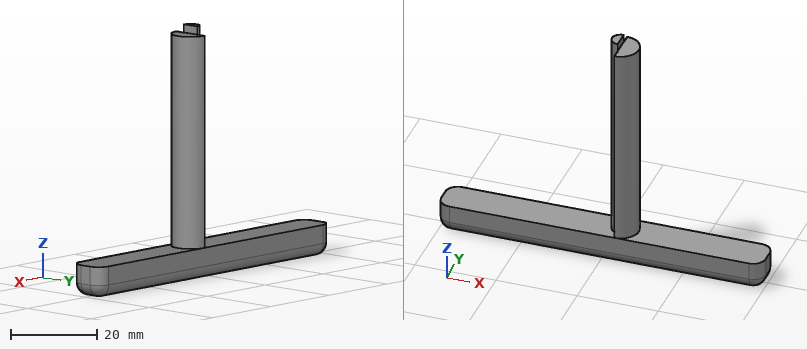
import cadquery as cq

bar_length = 80.0
bar_width = 9.0
bar_height = 7.4
bar_rounding = 3.0

total_height = 59.4
rib_step = 1.9
stem_flat_x = 3.8
post_radius = bar_width / 2
rib_radius = 2.2

stem_height = total_height - bar_height
post_height = stem_height - rib_step


def make_bar():
    """Bar with rounded upright corners and a rounded underside; its top edge stays sharp."""
    bar = cq.Workplane("XY").box(bar_length, bar_width, bar_height, centered=(True, True, False))
    return bar.edges("|Z").fillet(bar_rounding).faces("<Z").edges().fillet(bar_rounding)


def half_round(radius, height, side):
    """Half cylinder standing on the bar, bulging to +X (side = 1) or -X (side = -1)."""
    return (
        cq.Workplane("XY", origin=(stem_flat_x, 0, bar_height))
        .moveTo(0, -radius)
        .threePointArc((side * radius, 0), (0, radius))
        .close()
        .extrude(height)
    )


post = half_round(post_radius, post_height, 1)
rib = half_round(rib_radius, stem_height, -1)

result = make_bar().union(post).union(rib)